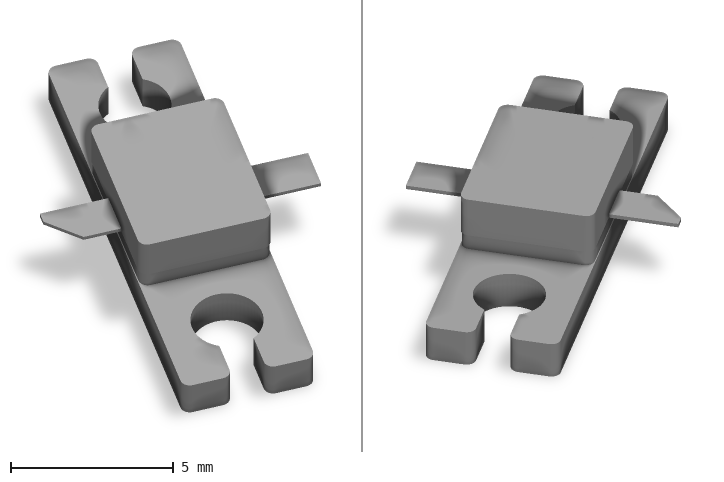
import cadquery as cq

flange_length = 14.15
flange_width = 4.26
flange_height = 1.2
corner_radius = 0.3

hole_diameter = 2.25
hole_spacing = 9.51
slot_width = 1.1

lid_length = 5.32
lid_width = flange_width
end_overhang = 0.01
side_overhang = 0.03
frame_length = lid_length - 2 * end_overhang
frame_width = lid_width - 2 * side_overhang
total_height = 3.04
lid_bottom = 1.71

lead_width = 1.35
lead_thickness = 0.13
back_lead_end = 4.3
front_lead_end = -4.33
lead_chamfer = 0.99


def rounded_block(length, width, bottom, top):
    """Block centred in X and Y with rounded vertical corners."""
    return (
        cq.Workplane("XY")
        .workplane(offset=bottom)
        .rect(length, width)
        .extrude(top - bottom)
        .edges("|Z")
        .fillet(corner_radius)
    )


def make_flange():
    """Flange with a keyhole opening and rounded corners at each end."""
    hole_x = hole_spacing / 2
    slot_depth = flange_length / 2 - hole_x
    slot_x = flange_length / 2 - slot_depth / 2
    flange = (
        cq.Workplane("XY")
        .rect(flange_length, flange_width)
        .extrude(flange_height)
    )
    slots = (
        cq.Workplane("XY")
        .pushPoints([(-slot_x, 0), (slot_x, 0)])
        .rect(slot_depth, slot_width)
        .extrude(flange_height)
    )
    holes = (
        cq.Workplane("XY")
        .pushPoints([(-hole_x, 0), (hole_x, 0)])
        .circle(hole_diameter / 2)
        .extrude(flange_height)
    )
    flange = flange.cut(slots)
    flange = flange.faces("<X or >X").edges("|Z").fillet(corner_radius)
    return flange.cut(holes)


def make_leads():
    """One strip through the package, with one corner cut off its front end."""
    half_width = lead_width / 2
    outline = [
        (-half_width, back_lead_end),
        (-half_width, front_lead_end),
        (half_width - lead_chamfer, front_lead_end),
        (half_width, front_lead_end + lead_chamfer),
        (half_width, back_lead_end),
    ]
    return (
        cq.Workplane("XY")
        .workplane(offset=lid_bottom)
        .polyline(outline)
        .close()
        .extrude(lead_thickness)
    )


frame = rounded_block(frame_length, frame_width, flange_height, lid_bottom)
lid = rounded_block(lid_length, lid_width, lid_bottom, total_height)
result = make_flange().union(frame).union(lid).union(make_leads())